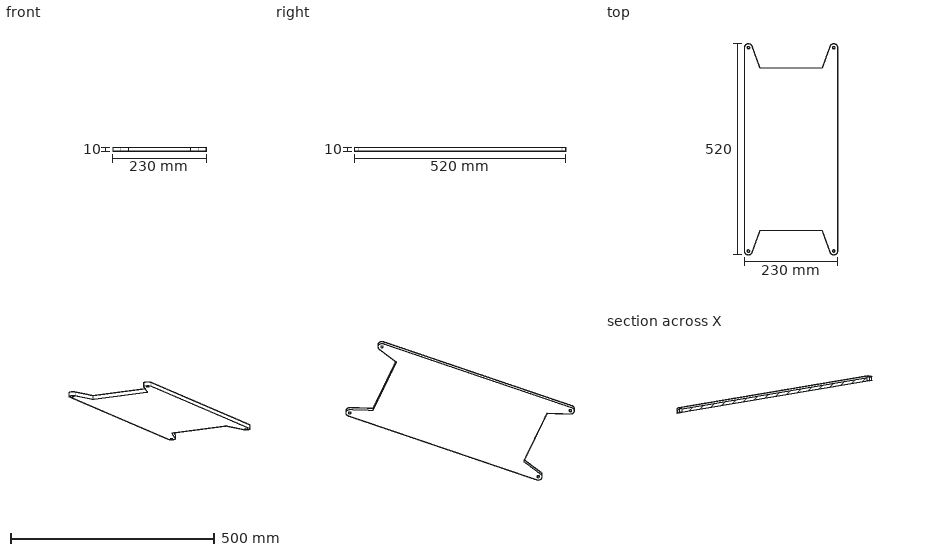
import cadquery as cq
import math

length = 520.0
width = 230.0
thickness = 10.0
ear_radius = 10.0
hole_diameter = 5.5
notch_depth = 60.0
notch_floor_width = 153.0

ear_x = width / 2 - ear_radius
ear_y = length / 2 - ear_radius
notch_x = notch_floor_width / 2
notch_y = length / 2 - notch_depth

run_x = notch_x - ear_x
run_y = notch_y - ear_y
corner_angle = math.atan2(run_y, run_x)
tangent_angle = corner_angle - math.acos(ear_radius / math.hypot(run_x, run_y)) + 2 * math.pi
tangent_x = ear_x + ear_radius * math.cos(tangent_angle)
tangent_y = ear_y + ear_radius * math.sin(tangent_angle)


def make_plate():
    """Flat plate with a tapered notch in each end, leaving four rounded ears."""
    tip_y = length / 2
    side_x = width / 2
    outline = (
        cq.Workplane("XY")
        .moveTo(side_x, -ear_y)
        .lineTo(side_x, ear_y)
        .threePointArc((ear_x, tip_y), (tangent_x, tangent_y))
        .lineTo(notch_x, notch_y)
        .lineTo(-notch_x, notch_y)
        .lineTo(-tangent_x, tangent_y)
        .threePointArc((-ear_x, tip_y), (-side_x, ear_y))
        .lineTo(-side_x, -ear_y)
        .threePointArc((-ear_x, -tip_y), (-tangent_x, -tangent_y))
        .lineTo(-notch_x, -notch_y)
        .lineTo(notch_x, -notch_y)
        .lineTo(tangent_x, -tangent_y)
        .threePointArc((ear_x, -tip_y), (side_x, -ear_y))
        .close()
    )
    return outline.extrude(thickness)


def drill_ears(plate):
    """One through hole concentric with each ear tip."""
    return (
        plate.faces(">Z")
        .workplane(origin=(0, 0, thickness))
        .rect(2 * ear_x, 2 * ear_y, forConstruction=True)
        .vertices()
        .hole(hole_diameter)
    )


result = drill_ears(make_plate())